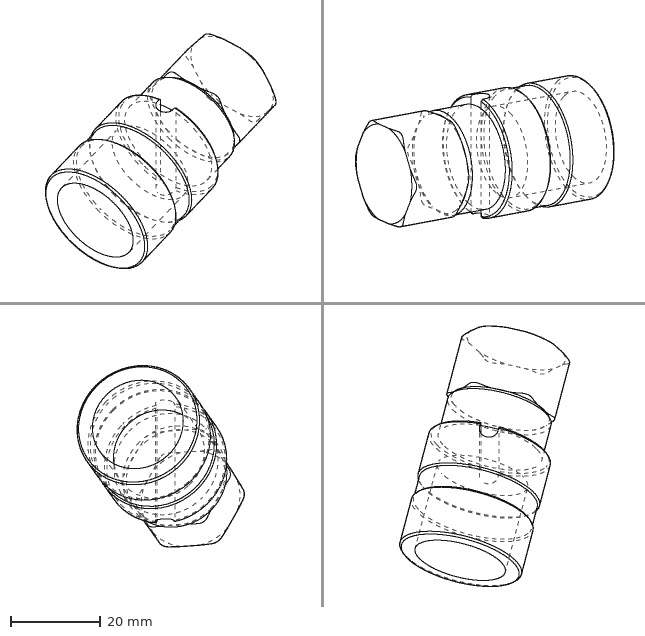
import cadquery as cq
import math

total_length = 52.85
groove_start = 11.4
groove_end = 17.5
sleeve_end = 28.15
neck_end = 37.75

sleeve_radius = 28.2 / 2
groove_radius = 27.35 / 2
neck_radius = 24.0 / 2
sleeve_chamfer = 0.5
groove_chamfer = sleeve_radius - groove_radius
neck_chamfer = 0.8
neck_end_radius = 11.35

bore_radius = 20.9 / 2
bore_depth = 21.15

slot_width = 4.2
slot_length = 3.3

across_flats = 22.35
across_corners = across_flats / math.cos(math.pi / 6)
hex_corner_radius = 2.65
hex_chamfer_length = 0.55
hex_chamfer_radial = 1.15


def revolve_profile(points):
    """Revolve (radius, y) points about the Y axis."""
    return cq.Workplane("XY").polyline(points).close().revolve(360, (0, 0, 0), (0, 1, 0))


def make_body():
    return revolve_profile([
        (0, 0),
        (sleeve_radius - sleeve_chamfer, 0),
        (sleeve_radius, sleeve_chamfer),
        (sleeve_radius, groove_start),
        (groove_radius, groove_start + groove_chamfer),
        (groove_radius, groove_end - groove_chamfer),
        (sleeve_radius, groove_end),
        (sleeve_radius, sleeve_end - sleeve_chamfer),
        (sleeve_radius - sleeve_chamfer, sleeve_end),
        (neck_radius, sleeve_end),
        (neck_radius, neck_end - neck_chamfer),
        (neck_end_radius, neck_end),
        (0, neck_end),
    ])


def make_hexagon():
    """Hexagon with rounded corners and conical chamfers at both ends."""
    prism = (
        cq.Workplane("XZ", origin=(0, neck_end, 0))
        .polygon(6, across_corners)
        .extrude(neck_end - total_length)
        .edges("|Y")
        .fillet(hex_corner_radius)
    )
    tip_radius = neck_end_radius + hex_chamfer_radial
    envelope = revolve_profile([
        (0, neck_end),
        (neck_end_radius, neck_end),
        (tip_radius, neck_end + hex_chamfer_length),
        (tip_radius, total_length - hex_chamfer_length),
        (neck_end_radius, total_length),
        (0, total_length),
    ])
    return prism.intersect(envelope)


def make_bore():
    return cq.Workplane("XZ").circle(bore_radius).extrude(-bore_depth)


def make_cross_slot():
    """Slot along Z: round toward the front, flat toward the hexagon."""
    half_width = slot_width / 2
    round_start = sleeve_end - slot_length + half_width
    return (
        cq.Workplane("XY")
        .moveTo(-half_width, sleeve_end)
        .lineTo(-half_width, round_start)
        .threePointArc((0, sleeve_end - slot_length), (half_width, round_start))
        .lineTo(half_width, sleeve_end)
        .close()
        .extrude(sleeve_radius, both=True)
    )


result = make_body().union(make_hexagon()).cut(make_bore()).cut(make_cross_slot())